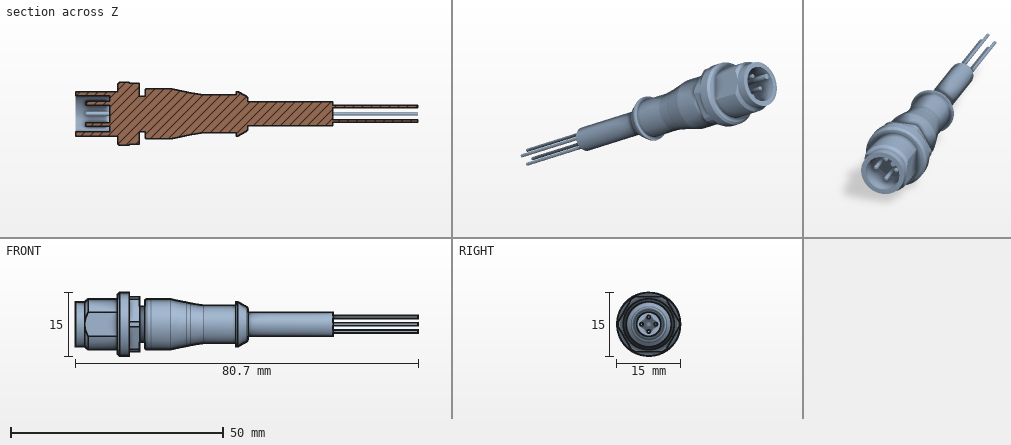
import cadquery as cq
import math


nose_radius = 5.3
nose_length = 2.2
shell_radius = 6.0
shell_shoulder_end = 3.0
shell_flat_width = 2 * nose_radius
bore_radius = 4.15
bore_depth = 8.0

contact_count = 4
contact_spacing_radius = 2.5
pin_radius = 0.5
pin_chamfer = 0.2
pin_tip_x = 2.4
key_radius = 0.65
key_offset = 2.5
key_front_x = 0.5

flange_start = 9.9
flange_end = 12.7
flange_radius = 7.5
flange_chamfer = 0.5
hex_end = 15.15
hex_across_flats = 13.0
hex_corner_radius = 7.2

neck_radius = 4.25
boot_start = 16.35
boot_radius = 6.0
boot_front_radius = 5.95
boot_front_fillet = 0.5
boot_front_end = 17.75
taper_start = 22.3
waist_start = 26.1
waist_start_radius = 5.2
waist_end = 27.0
waist_end_radius = 5.0
taper_end = 30.15
sleeve_radius = 4.5
collar_start = 37.8
collar_radius = 5.3
collar_rim_end = 38.25
boot_end = 40.65
boot_end_radius = 3.95
boot_end_fillet = 0.8

cable_radius = 2.85
stripped_length = 20.0
wire_radius = 0.375
wire_spacing_radius = 1.7
total_length = 80.7
cable_end = total_length - stripped_length


def rod(start, end, radius, y=0.0, z=0.0):
    """Cylinder parallel to X between two X positions."""
    return cq.Workplane("YZ", origin=(start, y, z)).circle(radius).extrude(end - start)


def cross_positions(radius):
    """Evenly spaced (Y, Z) points around the axis, beginning on +Y."""
    step = 2 * math.pi / contact_count
    return [(radius * math.cos(i * step), radius * math.sin(i * step)) for i in range(contact_count)]


def make_shell():
    """Stepped plug shell with two side flats."""
    profile = [
        (0, 0),
        (0, nose_radius),
        (nose_length, nose_radius),
        (shell_shoulder_end, shell_radius),
        (flange_start, shell_radius),
        (flange_start, 0),
    ]
    shell = cq.Workplane("XY").polyline(profile).close().revolve(360, (0, 0, 0), (1, 0, 0))
    flats = cq.Workplane("XY").box(
        flange_start, shell_flat_width, 2 * shell_radius, centered=(False, True, True)
    )
    return shell.intersect(flats)


def make_flange():
    flange = rod(flange_start, flange_end, flange_radius)
    return flange.faces("<X").chamfer(flange_chamfer)


def make_hexagon():
    """Hexagon with flats facing +Z and -Z and its corners turned round."""
    across_corners = hex_across_flats / math.cos(math.pi / 6)
    length = hex_end - flange_end
    hexagon = cq.Workplane("YZ", origin=(flange_end, 0, 0)).polygon(6, across_corners).extrude(length)
    return hexagon.intersect(rod(flange_end, hex_end, hex_corner_radius))


def make_boot():
    """Moulded strain relief from the neck to the cable exit."""
    profile = [
        (boot_start, 0),
        (boot_start, boot_front_radius),
        (boot_front_end, boot_radius),
        (taper_start, boot_radius),
        (waist_start, waist_start_radius),
        (waist_end, waist_end_radius),
        (taper_end, sleeve_radius),
        (collar_start, sleeve_radius),
        (collar_start, collar_radius),
        (collar_rim_end, collar_radius),
        (boot_end, boot_end_radius),
        (boot_end, 0),
    ]
    boot = cq.Workplane("XY").polyline(profile).close().revolve(360, (0, 0, 0), (1, 0, 0))
    boot = boot.faces("<X").edges().fillet(boot_front_fillet)
    return boot.faces(">X").edges().fillet(boot_end_fillet)


def make_body():
    body = make_shell().union(make_flange()).union(make_hexagon())
    body = body.union(rod(hex_end, boot_start, neck_radius)).union(make_boot())
    body = body.union(rod(boot_end, cable_end, cable_radius))
    return body.cut(rod(0, bore_depth, bore_radius))


def add_contacts(body):
    for y, z in cross_positions(contact_spacing_radius):
        pin = rod(pin_tip_x, bore_depth, pin_radius, y, z).faces("<X").chamfer(pin_chamfer)
        body = body.union(pin)
    return body.union(rod(key_front_x, bore_depth, key_radius, -key_offset, key_offset))


def add_wires(body):
    for y, z in cross_positions(wire_spacing_radius):
        body = body.union(rod(cable_end, total_length, wire_radius, y, z))
    return body


result = add_wires(add_contacts(make_body()))